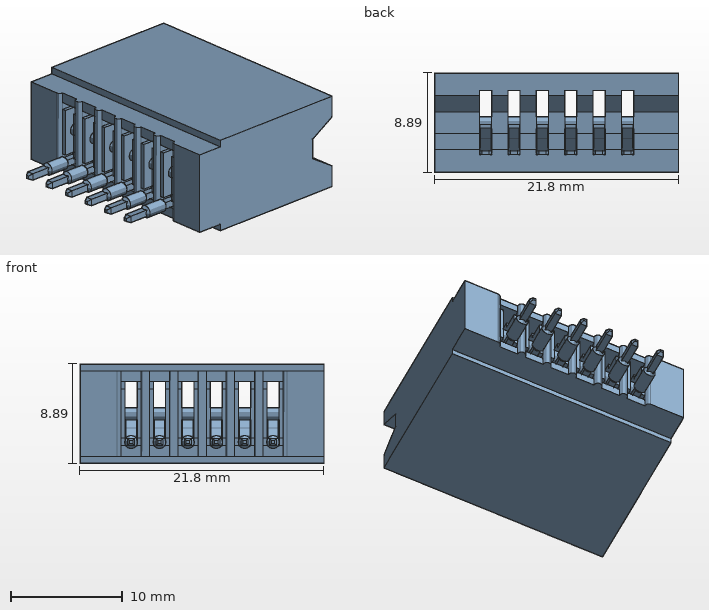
import cadquery as cq
import math

contact_count = 6
pitch = 2.54
row_height = -pitch

housing_width = 21.84
housing_height = 8.89
housing_depth = 16.39
nose_length = 2.54
nose_step = 0.635

guide_depth = 2.4
guide_mouth_height = 4.83
guide_floor_height = 1.94

rib_radius = 0.381
recess_depth = rib_radius
recess_width = contact_count * pitch

slot_width = 1.07
slot_height = 5.715
relief_width = pitch - 2 * rib_radius
relief_height = 0.66
relief_depth = 1.5

bar_radius = 0.55
bar_front = 1.0

pin_size = 0.635
pin_reach = 4.83
tip_length = 0.36
tip_size = 0.3
collar_radius = 0.575
collar_start = 0.06
collar_end = 2.6
collar_bevel = 0.28

leaf_width = 0.97
leaf_thickness = 0.3
leaf_start = 1.2
leaf_rise = 2.04
bend_angle = math.radians(64)
bend_radius = leaf_rise / 2 / (1 - math.cos(bend_angle))
free_length = 1.0

contact_positions = [(i - (contact_count - 1) / 2) * pitch for i in range(contact_count)]
rib_positions = [(i - contact_count / 2) * pitch for i in range(contact_count + 1)]


def box_at(x, width, y_start, y_end, z, height):
    """Box centred on x and z that runs from y_start to y_end."""
    return cq.Workplane("XY").box(width, y_end - y_start, height).translate(
        (x, (y_start + y_end) / 2, z)
    )


def make_profile():
    half_height = housing_height / 2
    nose_half = half_height - nose_step
    mouth_half = guide_mouth_height / 2
    floor_half = guide_floor_height / 2
    guide_floor = housing_depth - guide_depth
    outline = [
        (0, -nose_half),
        (nose_length, -nose_half),
        (nose_length, -half_height),
        (housing_depth, -half_height),
        (housing_depth, -mouth_half),
        (guide_floor, -floor_half),
        (guide_floor, floor_half),
        (housing_depth, mouth_half),
        (housing_depth, half_height),
        (nose_length, half_height),
        (nose_length, nose_half),
        (0, nose_half),
    ]
    left_side = cq.Workplane("YZ", origin=(-housing_width / 2, 0, 0))
    return left_side.polyline(outline).close().extrude(housing_width)


def cut_recess(body):
    """Sink the front face, leaving half-round ribs between and beside the contacts."""
    recess = box_at(0, recess_width, 0, recess_depth, 0, housing_height)
    ribs = (
        cq.Workplane("XY")
        .pushPoints([(x, rib_radius) for x in rib_positions])
        .circle(rib_radius)
        .extrude(housing_height)
        .translate((0, 0, -housing_height / 2))
    )
    return body.cut(recess.cut(ribs))


def cut_cavity(body, x):
    """Cut a slot through to the back, widened by a blind relief at its top and bottom ends."""
    body = body.cut(box_at(x, slot_width, 0, housing_depth, 0, slot_height))
    relief_offset = (slot_height - relief_height) / 2
    relief_end = recess_depth + relief_depth
    for z in (-relief_offset, relief_offset):
        body = body.cut(box_at(x, relief_width, recess_depth, relief_end, z, relief_height))
    return body


def make_bar():
    return (
        cq.Workplane("YZ", origin=(-recess_width / 2, bar_front + bar_radius, 0))
        .circle(bar_radius)
        .extrude(recess_width)
    )


def make_housing():
    body = cut_recess(make_profile())
    for x in contact_positions:
        body = cut_cavity(body, x)
    return body.union(make_bar())


def make_pin():
    """Square pin along -Y with a round bevelled collar and a tapered tip."""
    shank = box_at(0, pin_size, tip_length - pin_reach, leaf_start, row_height, pin_size)
    tip = (
        cq.Workplane("XZ", origin=(0, tip_length - pin_reach, row_height))
        .rect(pin_size, pin_size)
        .workplane(offset=tip_length)
        .rect(tip_size, tip_size)
        .loft(combine=True)
    )
    collar = (
        cq.Workplane("XZ", origin=(0, -collar_start, row_height))
        .circle(collar_radius)
        .extrude(collar_end - collar_start)
        .faces("<Y or >Y")
        .chamfer(collar_bevel)
    )
    return shank.union(tip).union(collar)


def below(centre, radius, angle):
    """Point on a circle, measured from its lowest point towards +Y."""
    return (centre[0] + radius * math.sin(angle), centre[1] - radius * math.cos(angle))


def above(centre, radius, angle):
    """Point on a circle, measured from its highest point towards -Y."""
    return (centre[0] - radius * math.sin(angle), centre[1] + radius * math.cos(angle))


def make_leaf():
    """S-bent strip, level at both ends, with its upper side starting flush with the pin's top."""
    foot_z = row_height + (pin_size - leaf_thickness) / 2
    crest_y = leaf_start + 2 * bend_radius * math.sin(bend_angle)
    lower_centre = (leaf_start, foot_z + bend_radius)
    upper_centre = (crest_y, foot_z + leaf_rise - bend_radius)
    tight = bend_radius - leaf_thickness / 2
    wide = bend_radius + leaf_thickness / 2
    half_bend = bend_angle / 2
    return (
        cq.Workplane("YZ", origin=(-leaf_width / 2, 0, 0))
        .moveTo(*below(lower_centre, tight, 0))
        .threePointArc(below(lower_centre, tight, half_bend), below(lower_centre, tight, bend_angle))
        .threePointArc(above(upper_centre, wide, half_bend), above(upper_centre, wide, 0))
        .line(free_length, 0)
        .line(0, -leaf_thickness)
        .line(-free_length, 0)
        .threePointArc(above(upper_centre, tight, half_bend), above(upper_centre, tight, bend_angle))
        .threePointArc(below(lower_centre, wide, half_bend), below(lower_centre, wide, 0))
        .close()
        .extrude(leaf_width)
    )


def make_contact(x):
    return make_pin().union(make_leaf()).translate((x, 0, 0))


housing = make_housing()
contacts = [make_contact(x) for x in contact_positions]

result = cq.Compound.makeCompound([housing.val()] + [contact.val() for contact in contacts])